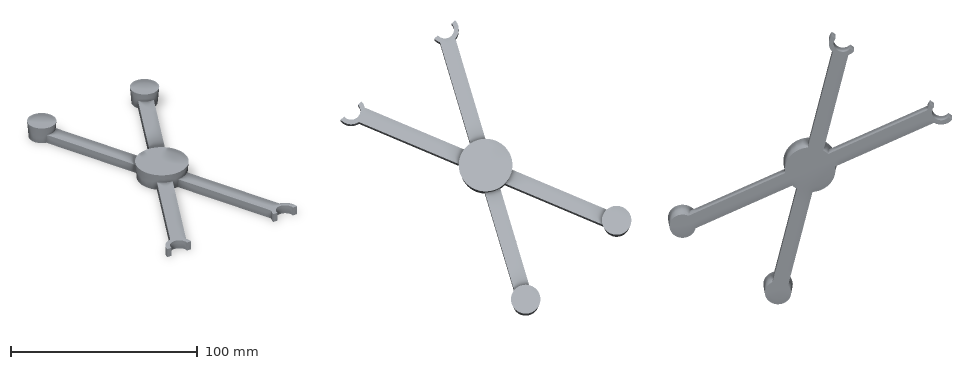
import cadquery as cq
import math

PART_HEIGHT = 9.75
ARM_HEIGHT = 5.0

ARM_WIDTH = 8.5
ARM_ANGLE = 25.2

DRAFT_ANGLE = 5.0
HUB_RADIUS = 14.4
PAD_RADIUS = 7.9
PAD_DISTANCE = 76.4

HOOK_FACE_X = 70.8
HOOK_OUTER_RADIUS = 7.5
HOOK_INNER_RADIUS = 4.95
HOOK_CENTER_Y = 33.5

PAD_X = -PAD_DISTANCE * math.cos(math.radians(ARM_ANGLE))
PAD_Y = PAD_DISTANCE * math.sin(math.radians(ARM_ANGLE))
SIDES = (-1, 1)


def drafted_disc(x, y, top_radius):
    """Full-height disc whose wall tapers inwards from top to bottom."""
    bottom_radius = top_radius - PART_HEIGHT * math.tan(math.radians(DRAFT_ANGLE))
    cone = cq.Solid.makeCone(bottom_radius, top_radius, PART_HEIGHT)
    return cq.Workplane(cone.translate(cq.Vector(x, y, 0)))


def arm(side):
    """Straight bar from a pad, through the hub, to the diagonally opposite hook."""
    hook_distance = math.hypot(HOOK_FACE_X, HOOK_CENTER_Y)
    bar = cq.Workplane("XY").box(
        PAD_DISTANCE + hook_distance, ARM_WIDTH, ARM_HEIGHT, centered=(False, True, False)
    )
    return bar.translate((-PAD_DISTANCE, 0, 0)).rotate((0, 0, 0), (0, 0, 1), side * ARM_ANGLE)


def hook_cylinder(side, radius):
    """Upright cylinder of arm height on the centre of a hook."""
    return cq.Workplane("XY").center(HOOK_FACE_X, side * HOOK_CENTER_Y).circle(radius).extrude(ARM_HEIGHT)


def beyond_hook_face():
    """Block covering everything on the +X side of the flat hook ends."""
    width = 2 * (HOOK_CENTER_Y + HOOK_OUTER_RADIUS)
    depth = 2 * HOOK_OUTER_RADIUS
    block = cq.Workplane("XY").box(depth, width, ARM_HEIGHT, centered=(False, True, False))
    return block.translate((HOOK_FACE_X, 0, 0))


body = drafted_disc(0, 0, HUB_RADIUS)

for side in SIDES:
    body = body.union(arm(side))
    body = body.union(hook_cylinder(side, HOOK_OUTER_RADIUS))
    body = body.union(drafted_disc(PAD_X, side * PAD_Y, PAD_RADIUS))

for side in SIDES:
    body = body.cut(hook_cylinder(side, HOOK_INNER_RADIUS))

result = body.cut(beyond_hook_face())